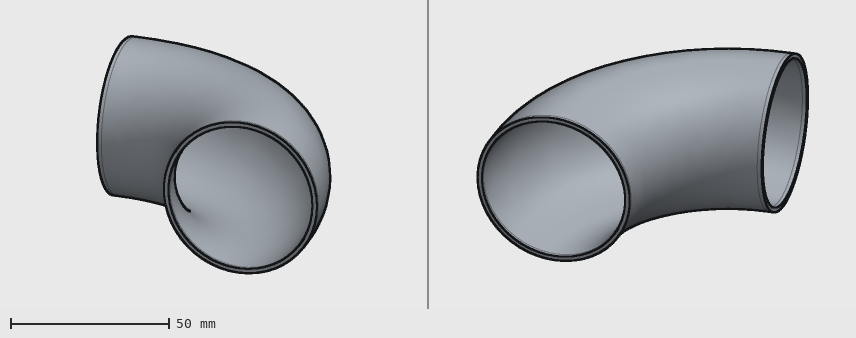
import cadquery as cq

outer_diameter = 50.8
inner_diameter = 47.8
bend_radius = 57.6
bend_angle = 88.5
collar_length = 1.4


def ring():
    """Pipe cross-section on the XZ plane, centred on the pipe centreline."""
    return (
        cq.Workplane("XZ")
        .center(bend_radius, 0)
        .circle(outer_diameter / 2)
        .circle(inner_diameter / 2)
    )


bend = ring().revolve(bend_angle, (-bend_radius, 0, 0), (-bend_radius, 1, 0))

start_collar = ring().extrude(collar_length)
end_collar = ring().extrude(-collar_length).rotate((0, 0, 0), (0, 0, 1), bend_angle)

result = bend.union(start_collar).union(end_collar)